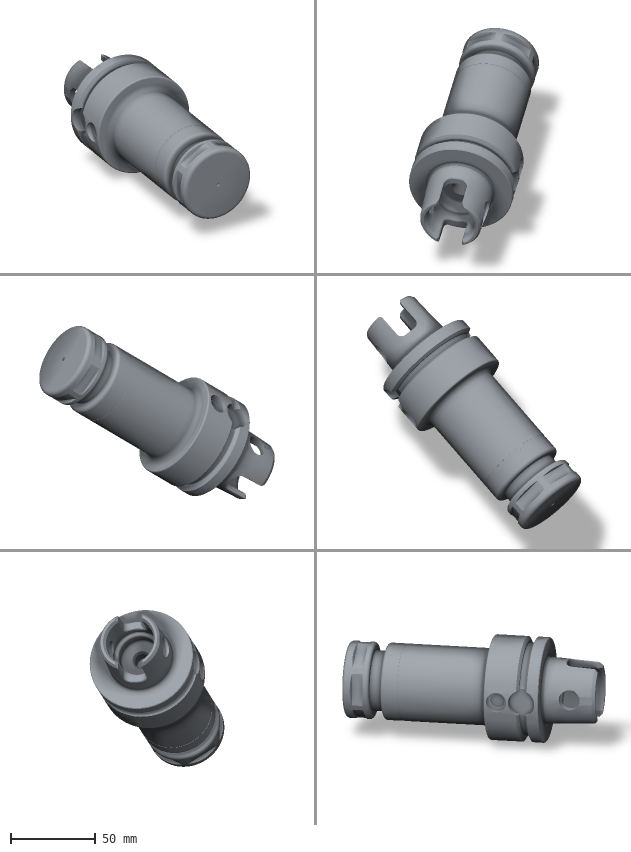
import cadquery as cq
import math

TOTAL_LENGTH = 152.0

SHANK_LENGTH = 30.2
SHANK_END_RADIUS = 19.9
TAPER_SLOPE = 0.05
NOSE_CHAMFER_LENGTH = 2.0
NOSE_CHAMFER_DEPTH = 1.2

FLANGE_START = 31.8
FLANGE_END = 64.8
FLANGE_RADIUS = 63.0 / 2
FLANGE_CHAMFER = 0.5
FLANGE_BACK_FILLET = 0.9
RELIEF_RADIUS = 21.7
RELIEF_FLOOR_RADIUS = 20.8
RELIEF_DEPTH = 0.3
RELIEF_FILLET = 1.0
RELIEF_NECK_RADIUS = 19.5
GRIP_START = 38.8
GRIP_END = 45.1
GRIP_FLOOR_START = 40.1
GRIP_FLOOR_END = 43.8
GRIP_FLOOR_RADIUS = 27.7
GRIP_WALL_ANGLE = 30.0

BODY_RADIUS = 46.0 / 2
BODY_FILLET = 3.2
BODY_END = 128.9
BODY_END_FILLET = 2.0
RING_START = 116.7
RING_END = 118.5
RING_DEPTH = 0.2
NECK_RADIUS = 36.0 / 2

NUT_START = 136.0
NUT_START_FILLET = 1.8
NUT_END_FILLET = 2.3
FLAT_COUNT = 6
FLAT_START = 139.8
FLAT_END = 146.2
FLAT_APOTHEM = 20.8
FLAT_START_RUNOUT = 0.5
FLAT_END_RUNOUT = 0.9

BORE_RADIUS = 14.6
BORE_END = 24.2
MOUTH_RADIUS = 15.8
MOUTH_DEPTH = 2.3
SHOULDER_RADIUS = 14.0
SHOULDER_X = 24.6
INNER_BORE_RADIUS = 12.2
INNER_BORE_ROUNDING = 1.4
BORE_FLOOR = 32.7
BORE_FLOOR_FILLET = 1.4
COOLANT_BORE_DIAMETER = 9.0
COOLANT_BORE_DEPTH = 9.1
COOLANT_MOUTH_DIAMETER = 11.0
COOLANT_MOUTH_DEPTH = 2.3
THROUGH_HOLE_DIAMETER = 2.5

SLOT_WIDTH = 14.0
SLOT_END = 19.6
SLOT_CORNER_RADIUS = 4.0
SLOT_CHAMFER = 0.53
SLOT_MOUTH_WIDTH = 16.7
SLOT_MOUTH_DEPTH = 2.0

TOLERANCE = 0.02

CLEARANCE = 1.5
THROUGH_REACH = SHANK_END_RADIUS + CLEARANCE

CROSS_HOLE_X = 15.2
CROSS_HOLE_DIAMETER = 12.5
KEYWAY_WIDTH = 5.2
KEYWAY_FLOOR = 18.2

POCKET_X = 42.0
POCKET_DIAMETER = 16.0
POCKET_FLOOR = 25.8
SIDE_HOLE_X = 57.0
SIDE_HOLE_MOUTH_DIAMETER = 12.0
SIDE_HOLE_MOUTH_FLOOR = 27.8
SIDE_HOLE_DIAMETER = 11.0
SIDE_HOLE_FLOOR = 26.8
SIDE_PILOT_DIAMETER = 8.5
SIDE_PILOT_FLOOR = 25.1


def fillet_middle(radius):
    """Offset of a quarter arc's midpoint from the corner that the arc rounds."""
    return radius * (1 - math.sqrt(0.5))


def shank_radius(x):
    return SHANK_END_RADIUS - TAPER_SLOPE * (SHANK_LENGTH - x)


def revolve_about_axis(outline):
    return outline.close().revolve(360, (0, 0, 0), (1, 0, 0))


def side_cylinder(x, diameter, floor, side):
    """Cylinder along Y from the floor distance out past the flange, on side +1 or -1."""
    height = FLANGE_RADIUS + CLEARANCE - floor
    start = cq.Vector(x, side * floor, 0)
    return cq.Workplane(obj=cq.Solid.makeCylinder(diameter / 2, height, start, cq.Vector(0, side, 0)))


def axial_cylinder(diameter, start, length):
    return cq.Workplane("YZ", origin=(start, 0, 0)).circle(diameter / 2).extrude(length)


def body_of_revolution():
    rise = 1 / math.tan(math.radians(GRIP_WALL_ANGLE))
    grip_front_radius = FLANGE_RADIUS - (GRIP_FLOOR_START - GRIP_START) * rise
    grip_back_radius = FLANGE_RADIUS - (GRIP_END - GRIP_FLOOR_END) * rise
    relief_mid = fillet_middle(RELIEF_FILLET)
    flange_back_mid = fillet_middle(FLANGE_BACK_FILLET)
    body_fillet_mid = fillet_middle(BODY_FILLET)
    body_end_mid = fillet_middle(BODY_END_FILLET)
    nut_start_mid = fillet_middle(NUT_START_FILLET)
    nut_end_mid = fillet_middle(NUT_END_FILLET)
    relief_floor = FLANGE_START + RELIEF_DEPTH

    outline = (
        cq.Workplane("XY")
        .moveTo(0, 0)
        .lineTo(0, shank_radius(0))
        .lineTo(SHANK_LENGTH, SHANK_END_RADIUS)
        .lineTo(relief_floor - RELIEF_FILLET, RELIEF_NECK_RADIUS)
        .threePointArc(
            (relief_floor - relief_mid, RELIEF_NECK_RADIUS + relief_mid),
            (relief_floor, RELIEF_NECK_RADIUS + RELIEF_FILLET),
        )
        .lineTo(relief_floor, RELIEF_FLOOR_RADIUS)
        .lineTo(FLANGE_START, RELIEF_RADIUS)
        .lineTo(FLANGE_START, FLANGE_RADIUS - FLANGE_CHAMFER)
        .lineTo(FLANGE_START + FLANGE_CHAMFER, FLANGE_RADIUS)
        .lineTo(GRIP_START, FLANGE_RADIUS)
        .lineTo(GRIP_FLOOR_START, grip_front_radius)
        .lineTo(GRIP_FLOOR_START, GRIP_FLOOR_RADIUS)
        .lineTo(GRIP_FLOOR_END, GRIP_FLOOR_RADIUS)
        .lineTo(GRIP_FLOOR_END, grip_back_radius)
        .lineTo(GRIP_END, FLANGE_RADIUS)
        .lineTo(FLANGE_END - FLANGE_BACK_FILLET, FLANGE_RADIUS)
        .threePointArc(
            (FLANGE_END - flange_back_mid, FLANGE_RADIUS - flange_back_mid),
            (FLANGE_END, FLANGE_RADIUS - FLANGE_BACK_FILLET),
        )
        .lineTo(FLANGE_END, BODY_RADIUS + BODY_FILLET)
        .threePointArc(
            (FLANGE_END + body_fillet_mid, BODY_RADIUS + body_fillet_mid),
            (FLANGE_END + BODY_FILLET, BODY_RADIUS),
        )
        .lineTo(RING_START, BODY_RADIUS)
        .lineTo(RING_START, BODY_RADIUS - RING_DEPTH)
        .lineTo(RING_END, BODY_RADIUS - RING_DEPTH)
        .lineTo(RING_END, BODY_RADIUS)
        .lineTo(BODY_END - BODY_END_FILLET, BODY_RADIUS)
        .threePointArc(
            (BODY_END - body_end_mid, BODY_RADIUS - body_end_mid),
            (BODY_END, BODY_RADIUS - BODY_END_FILLET),
        )
        .lineTo(BODY_END, NECK_RADIUS)
        .lineTo(NUT_START, NECK_RADIUS)
        .lineTo(NUT_START, BODY_RADIUS - NUT_START_FILLET)
        .threePointArc(
            (NUT_START + nut_start_mid, BODY_RADIUS - nut_start_mid),
            (NUT_START + NUT_START_FILLET, BODY_RADIUS),
        )
        .lineTo(TOTAL_LENGTH - NUT_END_FILLET, BODY_RADIUS)
        .threePointArc(
            (TOTAL_LENGTH - nut_end_mid, BODY_RADIUS - nut_end_mid),
            (TOTAL_LENGTH, BODY_RADIUS - NUT_END_FILLET),
        )
        .lineTo(TOTAL_LENGTH, 0)
    )
    return revolve_about_axis(outline)


def shank_bore():
    rounding_mid = fillet_middle(INNER_BORE_ROUNDING)
    fillet_mid = fillet_middle(BORE_FLOOR_FILLET)
    outline = (
        cq.Workplane("XY")
        .moveTo(0, 0)
        .lineTo(0, BORE_RADIUS)
        .lineTo(BORE_END, BORE_RADIUS)
        .lineTo(SHOULDER_X, SHOULDER_RADIUS)
        .lineTo(SHOULDER_X, INNER_BORE_RADIUS + INNER_BORE_ROUNDING)
        .threePointArc(
            (SHOULDER_X + rounding_mid, INNER_BORE_RADIUS + rounding_mid),
            (SHOULDER_X + INNER_BORE_ROUNDING, INNER_BORE_RADIUS),
        )
        .lineTo(BORE_FLOOR - BORE_FLOOR_FILLET, INNER_BORE_RADIUS)
        .threePointArc(
            (BORE_FLOOR - fillet_mid, INNER_BORE_RADIUS - fillet_mid),
            (BORE_FLOOR, INNER_BORE_RADIUS - BORE_FLOOR_FILLET),
        )
        .lineTo(BORE_FLOOR, 0)
    )
    coolant_mouth = cq.Workplane(
        obj=cq.Solid.makeCone(
            COOLANT_MOUTH_DIAMETER / 2,
            COOLANT_BORE_DIAMETER / 2,
            COOLANT_MOUTH_DEPTH,
            cq.Vector(BORE_FLOOR, 0, 0),
            cq.Vector(1, 0, 0),
        )
    )
    return (
        revolve_about_axis(outline)
        .union(coolant_mouth)
        .union(axial_cylinder(COOLANT_BORE_DIAMETER, BORE_FLOOR, COOLANT_BORE_DEPTH))
        .union(axial_cylinder(THROUGH_HOLE_DIAMETER, 0, TOTAL_LENGTH))
    )


def nose_bevels():
    """Cutters for the outer and inner bevels of the open shank end."""
    nose_radius = shank_radius(NOSE_CHAMFER_LENGTH)
    clear_radius = SHANK_END_RADIUS
    outer = (
        cq.Workplane("XY")
        .moveTo(0, nose_radius - NOSE_CHAMFER_DEPTH)
        .lineTo(NOSE_CHAMFER_LENGTH, nose_radius)
        .lineTo(NOSE_CHAMFER_LENGTH, clear_radius)
        .lineTo(0, clear_radius)
    )
    inner = (
        cq.Workplane("XY")
        .moveTo(0, 0)
        .lineTo(0, MOUTH_RADIUS)
        .lineTo(MOUTH_DEPTH, BORE_RADIUS)
        .lineTo(MOUTH_DEPTH, 0)
    )
    return revolve_about_axis(outer).union(revolve_about_axis(inner))


def drive_slot():
    """Slot through the shank along Z, open at the nose, with rounded inner corners."""
    lead = SLOT_WIDTH
    return (
        cq.Workplane("XY")
        .box(SLOT_END + lead, SLOT_WIDTH, 2 * THROUGH_REACH)
        .translate(((SLOT_END - lead) / 2, 0, 0))
        .edges("|Z and >X")
        .fillet(SLOT_CORNER_RADIUS)
    )


def slot_mouth():
    """Flared entry of the drive slot."""
    return (
        cq.Workplane("XY")
        .moveTo(0, -SLOT_MOUTH_WIDTH / 2)
        .lineTo(0, SLOT_MOUTH_WIDTH / 2)
        .lineTo(SLOT_MOUTH_DEPTH, SLOT_WIDTH / 2)
        .lineTo(SLOT_MOUTH_DEPTH, -SLOT_WIDTH / 2)
        .close()
        .extrude(THROUGH_REACH, both=True)
    )


def slot_rim(shank, inside):
    """Long edges where the drive slot meets the bore (inside) or the taper."""
    split_radius = (BORE_RADIUS + SHANK_END_RADIUS) / 2

    def on_rim(edge):
        middle = edge.positionAt(0.5)
        on_slot = (
            abs(middle.y) < SLOT_WIDTH / 2 + TOLERANCE
            and TOLERANCE < middle.x < SLOT_END + TOLERANCE
        )
        radius = math.hypot(middle.y, middle.z)
        on_wall = radius > BORE_RADIUS - TOLERANCE
        return on_slot and on_wall and (radius < split_radius) == inside

    return shank.edges("not |Z").filter(on_rim)


def cross_hole():
    return (
        cq.Workplane("XZ", origin=(CROSS_HOLE_X, 0, 0))
        .circle(CROSS_HOLE_DIAMETER / 2)
        .extrude(THROUGH_REACH, both=True)
    )


def keyway(side):
    depth = SHANK_END_RADIUS - KEYWAY_FLOOR
    return cq.Workplane("XY").box(CROSS_HOLE_X, depth, KEYWAY_WIDTH).translate(
        (CROSS_HOLE_X / 2, side * (KEYWAY_FLOOR + depth / 2), 0)
    )


def flange_side_features(side):
    return (
        side_cylinder(POCKET_X, POCKET_DIAMETER, POCKET_FLOOR, side)
        .union(side_cylinder(SIDE_HOLE_X, SIDE_HOLE_MOUTH_DIAMETER, SIDE_HOLE_MOUTH_FLOOR, side))
        .union(side_cylinder(SIDE_HOLE_X, SIDE_HOLE_DIAMETER, SIDE_HOLE_FLOOR, side))
        .union(side_cylinder(SIDE_HOLE_X, SIDE_PILOT_DIAMETER, SIDE_PILOT_FLOOR, side))
    )


def wrench_flat():
    """Cutter on the -Y side for one nut flat, with both ends sloping out of the nut."""
    outer = BODY_RADIUS + CLEARANCE
    runout_scale = (outer - FLAT_APOTHEM) / (BODY_RADIUS - FLAT_APOTHEM)
    return (
        cq.Workplane("XY")
        .moveTo(FLAT_START, -FLAT_APOTHEM)
        .lineTo(FLAT_END, -FLAT_APOTHEM)
        .lineTo(FLAT_END + FLAT_END_RUNOUT * runout_scale, -outer)
        .lineTo(FLAT_START - FLAT_START_RUNOUT * runout_scale, -outer)
        .close()
        .extrude(BODY_RADIUS, both=True)
    )


result = body_of_revolution().cut(shank_bore()).cut(drive_slot())
result = slot_rim(result, inside=False).chamfer(SLOT_CHAMFER)
result = slot_rim(result, inside=True).chamfer(SLOT_CHAMFER)
result = result.cut(nose_bevels()).cut(slot_mouth()).cut(cross_hole())

for side in (-1, 1):
    result = result.cut(keyway(side)).cut(flange_side_features(side))

for index in range(FLAT_COUNT):
    angle = index * 360 / FLAT_COUNT
    result = result.cut(wrench_flat().rotate((0, 0, 0), (1, 0, 0), angle))